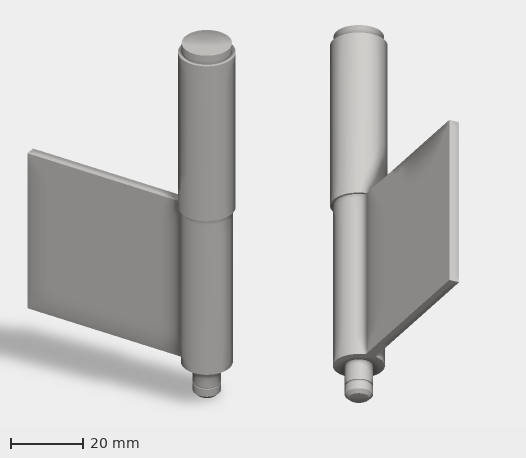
import cadquery as cq
import math


total_height = 113.0
barrel_length = 50.1
sleeve_radius = 8.0
barrel_radius = 7.2
leaf_reach = 57.6
leaf_thickness = 3.0
root_fillet = 1.0

pin_radius = 4.0
pin_tail = 10.1
pin_chamfer = 1.0
head_radius = 7.0
groove_width = 0.6
groove_depth = 0.3
groove_height = 3.4

sleeve_top = 2 * barrel_length
pin_bottom = -pin_tail
head_top = pin_bottom + total_height


def make_sleeve():
    """Upper tube, resting on the leaf barrel."""
    return (
        cq.Workplane("XY", origin=(0, 0, barrel_length))
        .circle(sleeve_radius)
        .circle(pin_radius)
        .extrude(barrel_length)
    )


def make_leaf():
    """Flat plate blended into a barrel by a fillet on each face, with a bore for the pin."""
    half = leaf_thickness / 2
    fillet_y = half + root_fillet
    center_distance = barrel_radius + root_fillet
    fillet_x = -math.sqrt(center_distance**2 - fillet_y**2)
    tangent_ratio = barrel_radius / center_distance
    barrel_x = fillet_x * tangent_ratio
    barrel_y = fillet_y * tangent_ratio

    outline = (
        cq.Workplane("XY")
        .moveTo(-leaf_reach, -half)
        .lineTo(fillet_x, -half)
        .radiusArc((barrel_x, -barrel_y), root_fillet)
        .threePointArc((barrel_radius, 0), (barrel_x, barrel_y))
        .radiusArc((fillet_x, half), root_fillet)
        .lineTo(-leaf_reach, half)
        .close()
    )
    bore = cq.Workplane("XY").circle(pin_radius).extrude(barrel_length)
    return outline.extrude(barrel_length).cut(bore)


def make_pin():
    """Headed pin through both barrels, with a chamfered tip and a retaining groove."""
    groove_bottom = pin_bottom + groove_height
    groove_top = groove_bottom + groove_width
    groove_radius = pin_radius - groove_depth
    half_profile = [
        (0, pin_bottom),
        (pin_radius - pin_chamfer, pin_bottom),
        (pin_radius, pin_bottom + pin_chamfer),
        (pin_radius, groove_bottom),
        (groove_radius, groove_bottom),
        (groove_radius, groove_top),
        (pin_radius, groove_top),
        (pin_radius, sleeve_top),
        (head_radius, sleeve_top),
        (head_radius, head_top),
        (0, head_top),
    ]
    return cq.Workplane("XZ").polyline(half_profile).close().revolve(360, (0, 0), (0, 1))


sleeve = make_sleeve()
leaf = make_leaf()
pin = make_pin()

result = cq.Compound.makeCompound([sleeve.val(), leaf.val(), pin.val()])